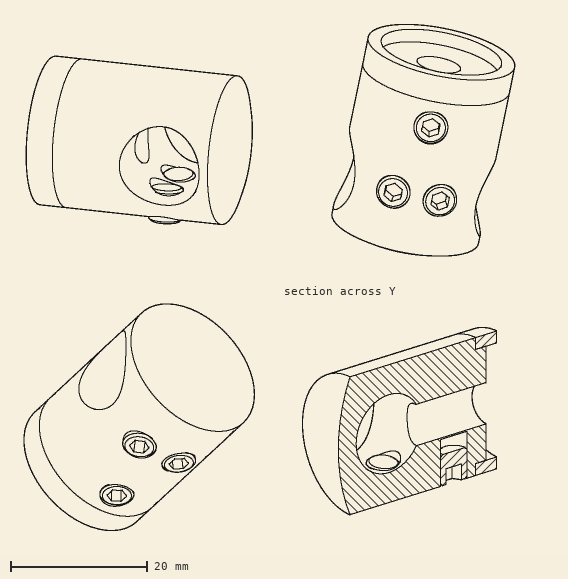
import cadquery as cq
import math

length = 30.1
outer_radius = 11.002
dome_height = 2.23
dome_start = length - dome_height

collar_length = 4.03

spigot_radius = 9.03
spigot_start = 2.0
bore_radius = 3.25

tunnel_radius = 6.15
tunnel_x = 20.47

screw_radius = 2.5
screw_length = 5.0
screw_chamfer = 0.35
socket_across_flats = 2.5
socket_depth = 2.5

base_screw_x = 8.13
base_screw_z = -10.95
pair_screw_x = 19.1
pair_screw_y = 3.52
pair_screw_z = -10.72
pair_screw_lean = 7.0

hole_outer_margin = 1.5
hole_inner_margin = 2.4


def screw_plane(x, y, z, lean):
    """Plane on a screw's outer end, normal pointing inward; positive lean spreads the end to +Y."""
    angle = math.radians(lean)
    inward = (0, -math.sin(angle), math.cos(angle))
    return cq.Plane(origin=(x, y, z), xDir=(1, 0, 0), normal=inward)


def make_screw(plane):
    """Set screw chamfered at both ends, with a hexagon socket in its outer end."""
    blank = cq.Workplane(plane).circle(screw_radius).extrude(screw_length).edges().chamfer(screw_chamfer)
    socket_across_corners = socket_across_flats / math.cos(math.pi / 6)
    socket = cq.Workplane(plane).polygon(6, socket_across_corners).extrude(socket_depth)
    return blank.cut(socket)


def make_screw_hole(plane):
    """Cutter for the hole that a screw sits in."""
    hole_length = hole_outer_margin + screw_length + hole_inner_margin
    return (
        cq.Workplane(plane)
        .workplane(offset=-hole_outer_margin)
        .circle(screw_radius)
        .extrude(hole_length)
    )


def make_collar():
    """Plain ring that fits over the housing's spigot."""
    return cq.Workplane("YZ").circle(outer_radius).circle(spigot_radius).extrude(collar_length)


def make_housing(planes):
    """Domed, spigoted cylinder with a cross tunnel, an axial bore into it and the screw holes."""
    dome_radius = (outer_radius**2 + dome_height**2) / (2 * dome_height)
    dome_middle_angle = math.asin(outer_radius / dome_radius) / 2
    dome_middle = (
        length - dome_radius * (1 - math.cos(dome_middle_angle)),
        dome_radius * math.sin(dome_middle_angle),
    )
    housing = (
        cq.Workplane("XY")
        .moveTo(spigot_start, 0)
        .lineTo(spigot_start, spigot_radius)
        .lineTo(collar_length, spigot_radius)
        .lineTo(collar_length, outer_radius)
        .lineTo(dome_start, outer_radius)
        .threePointArc(dome_middle, (length, 0))
        .close()
        .revolve(360, (0, 0, 0), (1, 0, 0))
    )
    tunnel = (
        cq.Workplane("XZ")
        .center(tunnel_x, 0)
        .circle(tunnel_radius)
        .extrude(outer_radius, both=True)
    )
    bore = cq.Workplane("YZ").circle(bore_radius).extrude(tunnel_x)
    housing = housing.cut(tunnel).cut(bore)
    for plane in planes:
        housing = housing.cut(make_screw_hole(plane))
    return housing.solids()


screw_planes = [screw_plane(base_screw_x, 0, base_screw_z, 0)]
for side in (-1, 1):
    screw_planes.append(
        screw_plane(pair_screw_x, side * pair_screw_y, pair_screw_z, side * pair_screw_lean)
    )

collar = make_collar()
housing = make_housing(screw_planes)
screws = [make_screw(plane) for plane in screw_planes]

result = cq.Compound.makeCompound(
    [collar.val(), housing.val(), *[screw.solids().val() for screw in screws]]
)